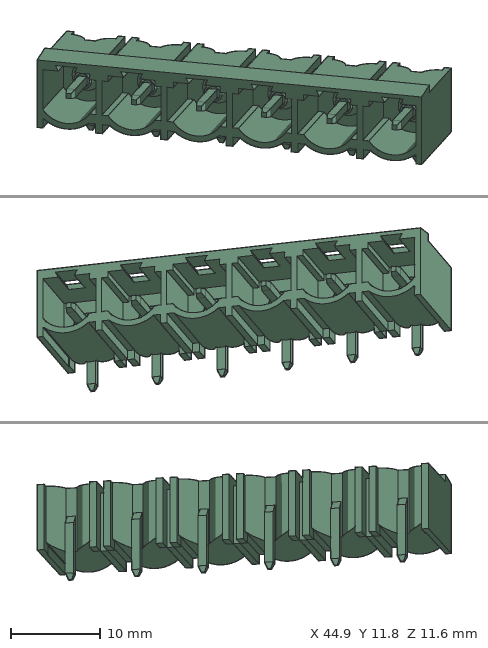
import cadquery as cq


pole_count = 6
length = 44.9
end_margin = 3.4
pitch = (length - 2 * end_margin) / (pole_count - 1)
pole_places = [(i - (pole_count - 1) / 2) * pitch for i in range(pole_count)]
gap_places = [(i - (pole_count - 2) / 2) * pitch for i in range(pole_count - 1)]

depth = 11.75
top = 7.55
strip_depth = 3.05
strip_front_top = 8.0
strip_rear_top = 8.4

pocket_depth = 8.1
pocket_half_width = 3.45
pocket_narrow_half_width = 2.75
pocket_top = 6.9
pocket_step = 6.25
pocket_shoulder = 2.2
pocket_bottom = 0.8

belly_half_width = 2.6
belly_bottom = 0.15
underside = 1.1

gap_width = 0.8
end_wall = length / 2 - pole_places[-1] - pocket_narrow_half_width
gap_floor = 6.7
rear_gap_depth = 2.05

recess_half_width = 2.6
recess_shoulder = 0.95
recess_curve_half_width = 1.35
recess_curve_depth = 1.35
recess_floor_half_width = 0.65
recess_floor = 2.35

slot_depth = 4.05
slot_top_half_width = 1.25
slot_bottom_half_width = 0.95

boss_base_radius = 1.7
boss_edge_radius = 1.05
boss_tip_radius = 0.8
boss_edge_height = 1.55
boss_height = 1.65

pin_size = 1.0
pin_height = 3.75
pin_front = 0.9
pin_bottom = -3.2
mating_tip_size = 0.6
solder_tip_size = 0.4
mating_tip_length = 0.95
solder_tip_length = 0.67
pin_rear = depth - recess_floor + pin_size


def box(x_range, y_range, z_range):
    """Box between the given limits."""
    spans = [high - low for low, high in (x_range, y_range, z_range)]
    corner = (x_range[0], y_range[0], z_range[0])
    return cq.Workplane("XY").box(*spans, centered=False).translate(corner)


def front_sketch():
    """Workplane in the mating face, drawn in X and Z; a negative extrusion goes to the rear."""
    return cq.Workplane("XZ")


def block_with_strip():
    """Plain block with the sloping strip along its top front edge."""
    outline = [
        (0, 0),
        (depth, 0),
        (depth, top),
        (strip_depth, top),
        (strip_depth, strip_rear_top),
        (0, strip_front_top),
    ]
    return cq.Workplane("YZ").polyline(outline).close().extrude(length / 2, both=True)


def underside_cut(x):
    """Space below one pole, between the walls on either side of it, leaving its curved belly."""
    left = max(x - pitch / 2 + gap_width / 2, -length / 2 + end_wall)
    right = min(x + pitch / 2 - gap_width / 2, length / 2 - end_wall)
    return (
        front_sketch()
        .moveTo(left, 0)
        .lineTo(left, underside)
        .lineTo(x - belly_half_width, underside)
        .threePointArc((x, belly_bottom), (x + belly_half_width, underside))
        .lineTo(right, underside)
        .lineTo(right, 0)
        .close()
        .extrude(-depth)
    )


def rear_posts(x):
    """Feet at the rear of one pole, between its recess and the walls beside it."""
    left = x - pitch / 2
    right = x + pitch / 2
    rear = (depth - rear_gap_depth, depth)
    left_post = box((max(left, -length / 2), x - recess_half_width), rear, (0, underside))
    right_post = box((x + recess_half_width, min(right, length / 2)), rear, (0, underside))
    return left_post.union(right_post)


def pocket(x):
    """Mating pocket with stepped top corners and a round floor; end walls narrow the outermost pockets."""
    left = max(x - pocket_half_width, -length / 2 + end_wall)
    right = min(x + pocket_half_width, length / 2 - end_wall)
    narrow_left = x - pocket_narrow_half_width
    narrow_right = x + pocket_narrow_half_width
    upper = box((narrow_left, narrow_right), (0, pocket_depth), (pocket_shoulder, pocket_top))
    middle = box((left, right), (0, pocket_depth), (pocket_shoulder, pocket_step))
    floor = (
        front_sketch()
        .moveTo(narrow_left, pocket_shoulder)
        .threePointArc((x, pocket_bottom), (narrow_right, pocket_shoulder))
        .close()
        .extrude(-pocket_depth)
    )
    return upper.union(middle).union(floor)


def coding_slot(x):
    """Slot with sloping sides above a pocket, open to the pocket and to the mating face."""
    outline = [
        (x - slot_top_half_width, top),
        (x + slot_top_half_width, top),
        (x + slot_bottom_half_width, pocket_top),
        (x - slot_bottom_half_width, pocket_top),
    ]
    return front_sketch().polyline(outline).close().extrude(-slot_depth)


def rear_recess(x):
    """Full-height recess in the rear face with bulging sides and a flat floor behind the leg."""
    shoulder = depth - recess_shoulder
    curve = depth - recess_curve_depth
    floor = depth - recess_floor
    return (
        cq.Workplane("XY")
        .moveTo(x - recess_half_width, depth)
        .lineTo(x - recess_half_width, shoulder)
        .threePointArc((x - recess_curve_half_width, curve), (x - recess_floor_half_width, floor))
        .lineTo(x + recess_floor_half_width, floor)
        .threePointArc((x + recess_curve_half_width, curve), (x + recess_half_width, shoulder))
        .lineTo(x + recess_half_width, depth)
        .close()
        .extrude(top)
    )


def gap_between_poles(x):
    """Groove in the top behind the strip, which cuts through the full height at the rear."""
    sides = (x - gap_width / 2, x + gap_width / 2)
    groove = box(sides, (strip_depth, depth), (gap_floor, top))
    rear_gap = box(sides, (depth - rear_gap_depth, depth), (0, top))
    return groove.union(rear_gap)


def boss(x):
    """Two-stage cone on the back wall of a pocket, around the pin."""
    outline = [
        (0, pocket_depth),
        (boss_base_radius, pocket_depth),
        (boss_edge_radius, pocket_depth - boss_edge_height),
        (boss_tip_radius, pocket_depth - boss_height),
        (0, pocket_depth - boss_height),
    ]
    cone = cq.Workplane("XY").polyline(outline).close().revolve(360, (0, 0, 0), (0, 1, 0))
    return cone.translate((x, 0, pin_height))


def tapered_tip(plane, tip_length, tip_size):
    """Four-sided pin tip growing along the normal of a workplane."""
    return (
        plane.rect(pin_size, pin_size)
        .workplane(offset=tip_length)
        .rect(tip_size, tip_size)
        .loft(ruled=True)
    )


def make_pin(x):
    """Square L-shaped pin with a bevelled bend and two tapered tips."""
    half = pin_size / 2
    shank_front = pin_front + mating_tip_length
    leg_bottom = pin_bottom + solder_tip_length
    outline = [
        (shank_front, pin_height - half),
        (pin_rear - pin_size, pin_height - half),
        (pin_rear - pin_size, leg_bottom),
        (pin_rear, leg_bottom),
        (pin_rear, pin_height - half),
        (pin_rear - pin_size, pin_height + half),
        (shank_front, pin_height + half),
    ]
    bar = cq.Workplane("YZ").polyline(outline).close().extrude(half, both=True)
    mating_end = cq.Workplane("XZ", origin=(0, shank_front, pin_height))
    mating_tip = tapered_tip(mating_end, mating_tip_length, mating_tip_size)
    leg_end = cq.Workplane("XY", origin=(0, pin_rear - half, leg_bottom)).transformed(rotate=(180, 0, 0))
    solder_tip = tapered_tip(leg_end, solder_tip_length, solder_tip_size)
    return bar.union(mating_tip).union(solder_tip).translate((x, 0, 0))


def make_housing(pins):
    """One-piece housing with a pin hole through the back wall of each pocket."""
    housing = block_with_strip()
    for x in pole_places:
        housing = housing.cut(underside_cut(x)).union(rear_posts(x))
        housing = housing.cut(pocket(x)).cut(coding_slot(x)).cut(rear_recess(x))
        housing = housing.union(boss(x))
    for x in gap_places:
        housing = housing.cut(gap_between_poles(x))
    for pin in pins:
        housing = housing.cut(pin)
    return housing


pins = [make_pin(x) for x in pole_places]
housing = make_housing(pins)
result = cq.Compound.makeCompound([housing.val(), *[pin.val() for pin in pins]])